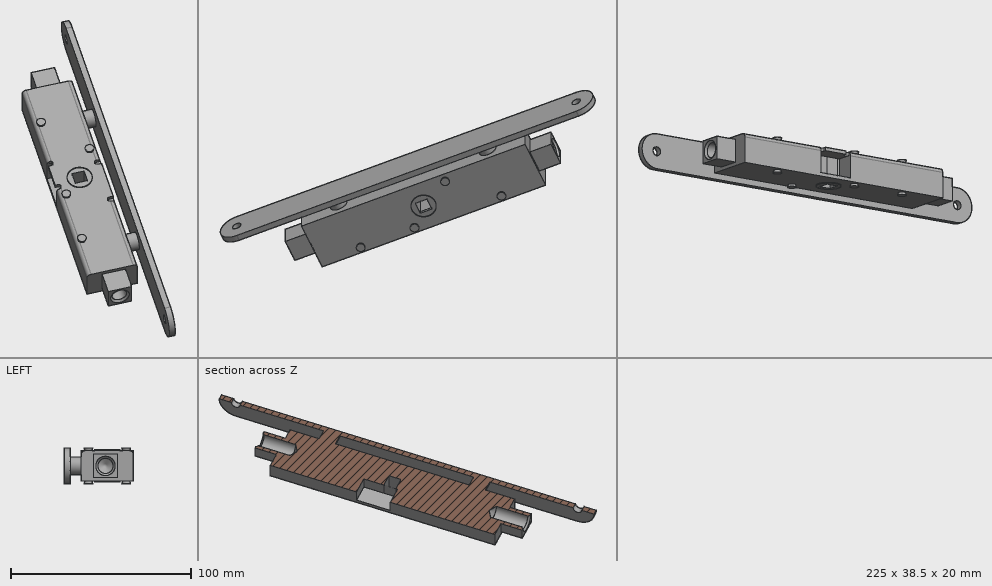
import cadquery as cq
import math


case_length = 135.0
case_depth = 29.0
case_height = 17.0
sheet_thickness = 2.0
fold_radius = 2.4
case_back_y = case_depth / 2
case_front_y = -case_depth / 2
case_top_z = case_height / 2
inner_height = case_height - 2 * sheet_thickness
inner_top_z = inner_height / 2

plate_length = 225.0
plate_height = 20.0
plate_thickness = 3.5
plate_hole_diameter = 5.0
plate_hole_x = (plate_length - plate_height) / 2

post_length = 6.0
post_diameter = 10.0
post_x = 45.0
plate_front_y = case_back_y + post_length

front_tab_x = -5.5
front_tab_width = 20.0
front_relief_width = 3.0
front_relief_length = 3.0
back_tab_x = 5.5
back_tab_width = 30.0
back_relief_width = 3.0
back_relief_length = 3.75

window_depth = 10.5

bolt_length = 160.5
bolt_width = 13.5
bolt_height = inner_height
bolt_y = 1.0
bore_diameter = 8.38
bore_mouth_diameter = 10.75
bore_depth = 20.0
drill_tip_angle = 118.0

follower_diameter = 14.0
follower_height = 18.0
spindle_square = 7.0

rivet_diameter = 5.0
rivet_neck_diameter = 4.13
rivet_head_height = (plate_height - case_height) / 2
rivet_edge_distance = 4.0
rivet_front_y = case_front_y + rivet_edge_distance
rivet_back_y = case_back_y - rivet_edge_distance
rivet_points = [
    (-42.5, rivet_front_y),
    (10.0, rivet_front_y),
    (42.5, rivet_front_y),
    (-17.5, rivet_back_y),
]


def make_plate():
    """Face plate with round ends and a screw hole at the centre of each end."""
    return (
        cq.Workplane("XZ", origin=(0, plate_front_y + plate_thickness, 0))
        .slot2D(plate_length, plate_height)
        .pushPoints([(-plate_hole_x, 0), (plate_hole_x, 0)])
        .circle(plate_hole_diameter / 2)
        .extrude(plate_thickness)
    )


def make_posts():
    return (
        cq.Workplane("XZ", origin=(0, plate_front_y, 0))
        .pushPoints([(-post_x, 0), (post_x, 0)])
        .circle(post_diameter / 2)
        .extrude(post_length)
    )


def make_tab(tab_x, tab_width, edge_y):
    """Square-edged upper block from the case centre line to one edge, under the flat top sheet."""
    return (
        cq.Workplane("XY", origin=(tab_x, edge_y / 2, 0))
        .rect(tab_width, case_depth / 2)
        .extrude(case_top_z)
    )


def make_reliefs(tab_x, tab_width, edge_y, relief_width, relief_length):
    """Round-ended slots through the top sheet, just inside both ends of a tab."""
    offset = (tab_width - relief_width) / 2
    return (
        cq.Workplane("XY", origin=(tab_x, edge_y, inner_top_z))
        .pushPoints([(-offset, 0), (offset, 0)])
        .slot2D(2 * relief_length, relief_width, 90)
        .extrude(sheet_thickness)
    )


def make_case():
    case = cq.Workplane("XY").box(case_length, case_depth, case_height)
    case = case.edges("|X and >Z").fillet(fold_radius)
    case = case.union(make_tab(front_tab_x, front_tab_width, case_front_y))
    case = case.union(make_tab(back_tab_x, back_tab_width, case_back_y))
    case = case.cut(
        make_reliefs(front_tab_x, front_tab_width, case_front_y, front_relief_width, front_relief_length)
    )
    case = case.cut(
        make_reliefs(back_tab_x, back_tab_width, case_back_y, back_relief_width, back_relief_length)
    )
    window_y = case_front_y + window_depth / 2
    window = cq.Workplane("XY", origin=(front_tab_x, window_y, 0)).box(
        front_tab_width, window_depth, inner_height
    )
    return case.cut(window)


def make_bore():
    """Blind drilled bore with a 45 degree mouth, entering along +Y from the origin."""
    bore_radius = bore_diameter / 2
    mouth_radius = bore_mouth_diameter / 2
    tip_length = bore_radius / math.tan(math.radians(drill_tip_angle / 2))
    return (
        cq.Workplane("XY")
        .moveTo(0, 0)
        .lineTo(mouth_radius, 0)
        .lineTo(bore_radius, mouth_radius - bore_radius)
        .lineTo(bore_radius, bore_depth)
        .lineTo(0, bore_depth + tip_length)
        .close()
        .revolve(360, (0, 0), (0, 1))
    )


def make_bolt_end(side):
    """Part of the bolt that stands out of the case on one side."""
    projection = (bolt_length - case_length) / 2
    center_x = side * (case_length + projection) / 2
    return cq.Workplane("XY", origin=(center_x, bolt_y, 0)).box(projection, bolt_width, bolt_height)


def make_placed_bore(side):
    bore = make_bore().rotate((0, 0, 0), (0, 0, 1), side * 90)
    return bore.translate((side * bolt_length / 2, bolt_y, 0))


def make_rivet_heads():
    """Heads on the top of the case, widening outward, and their mirror images below."""
    flare = (rivet_diameter - rivet_neck_diameter) / 2
    flare_angle = math.degrees(math.atan(flare / rivet_head_height))
    heads = (
        cq.Workplane("XY", origin=(0, 0, case_top_z))
        .pushPoints(rivet_points)
        .circle(rivet_neck_diameter / 2)
        .extrude(rivet_head_height, taper=-flare_angle)
    )
    return heads.union(heads.mirror("XY"))


def make_follower_rims():
    """Round ends of the follower, standing slightly out of the top and bottom of the case."""
    follower = cq.Workplane("XY").circle(follower_diameter / 2).extrude(follower_height / 2, both=True)
    return follower.cut(cq.Workplane("XY").box(case_length, case_depth, case_height))


def make_spindle_hole():
    return cq.Workplane("XY").rect(spindle_square, spindle_square).extrude(follower_height / 2, both=True)


result = make_case()
result = result.union(make_posts()).union(make_plate())
for side in (-1, 1):
    result = result.union(make_bolt_end(side))
    result = result.cut(make_placed_bore(side))
result = result.union(make_rivet_heads())
result = result.union(make_follower_rims())
result = result.cut(make_spindle_hole())